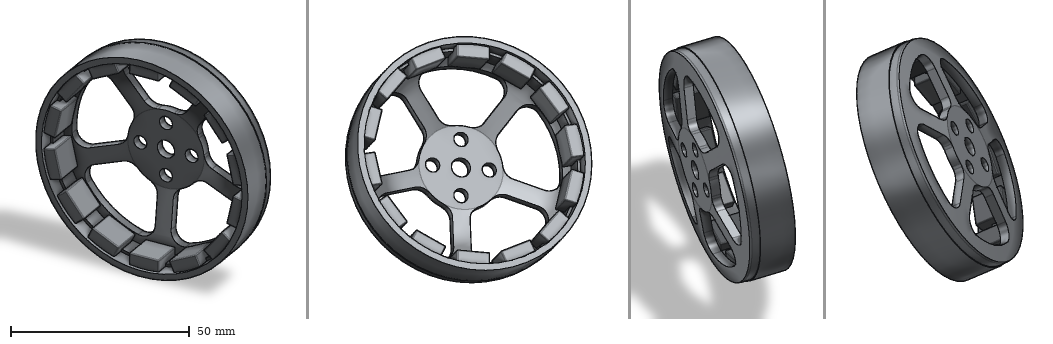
import cadquery as cq
import math


ring_radius = 34.17
ring_bore_radius = 32.25
ring_length = 10.55

bell_radius = 33.9
bell_edge_radius = 33.75
bell_side_end = 13.0
bell_edge_end = 13.65
lip_bore_radius = 31.4
lip_start = 5.0

total_length = 16.48
hub_radius = 12.28
hub_face = 13.7
web_slope = (total_length - bell_edge_end) / (bell_edge_radius - hub_radius)
web_front_at_lip = hub_face - web_slope * (lip_bore_radius - hub_radius)

spoke_count = 5
spoke_width = 5.15
window_inner_distance = 12.0
window_outer_radius = 28.95
window_corner_radius = 4.0

shaft_hole_diameter = 5.5
screw_hole_diameter = 4.1
screw_circle_radius = 8.25
screw_count = 4

magnet_count = 14
magnet_width = 9.5
magnet_length = 9.5
magnet_start = 1.2
magnet_face_distance = 28.3
magnet_edge_radius = 0.3
magnet_embed = 0.4


def copies(body, count):
    """Evenly spaced copies of a body around the bell axis."""
    pitch = 360.0 / count
    return [body.rotate((0, 0, 0), (0, 1, 0), pitch * i) for i in range(count)]


def make_shell():
    """Ring, bell, web and hub revolved as one profile of (radius, Y) points."""
    profile = (
        cq.Workplane("XY")
        .moveTo(0, hub_face)
        .lineTo(hub_radius, hub_face)
        .lineTo(lip_bore_radius, web_front_at_lip)
        .lineTo(lip_bore_radius, lip_start)
        .lineTo(ring_bore_radius, lip_start)
        .lineTo(ring_bore_radius, 0)
        .lineTo(ring_radius, 0)
        .lineTo(ring_radius, ring_length)
        .lineTo(bell_radius, ring_length)
        .lineTo(bell_radius, bell_side_end)
        .lineTo(bell_edge_radius, bell_edge_end)
        .lineTo(hub_radius, total_length)
        .lineTo(0, total_length)
        .close()
    )
    return profile.revolve(360, (0, 0, 0), (0, 1, 0))


def make_window():
    """Cutter for the window centred on +Z, bounded by two spokes and the rim."""
    half_pitch = math.pi / spoke_count
    side_offset = spoke_width / 2 / math.sin(half_pitch)

    def side_x(z):
        return (z - side_offset) * math.tan(half_pitch)

    inner_x = side_x(window_inner_distance)
    outer_angle = half_pitch - math.asin(spoke_width / 2 / window_outer_radius)
    outer_x = window_outer_radius * math.sin(outer_angle)
    outer_z = window_outer_radius * math.cos(outer_angle)
    window = (
        cq.Workplane("XZ")
        .moveTo(-inner_x, window_inner_distance)
        .lineTo(inner_x, window_inner_distance)
        .lineTo(outer_x, outer_z)
        .threePointArc((0, window_outer_radius), (-outer_x, outer_z))
        .close()
        .extrude(-total_length)
        .edges("|Y")
        .fillet(window_corner_radius)
    )
    hub = cq.Workplane("XZ").circle(hub_radius).extrude(-total_length)
    return window.cut(hub)


def make_hub_holes():
    """Shaft hole and the screw holes around it."""
    shaft = cq.Workplane("XZ").circle(shaft_hole_diameter / 2)
    screws = cq.Workplane("XZ").polarArray(screw_circle_radius, 0, 360, screw_count)
    screws = screws.circle(screw_hole_diameter / 2)
    return shaft.extrude(-total_length).union(screws.extrude(-total_length))


def make_magnet():
    """Round-edged block magnet on +Z, its back merged into the ring."""
    magnet_back = ring_bore_radius + magnet_embed
    height = magnet_back - magnet_face_distance
    return (
        cq.Workplane("XY")
        .box(magnet_width, magnet_length, height, centered=(True, False, False))
        .edges("|Z or <Z")
        .fillet(magnet_edge_radius)
        .translate((0, magnet_start, magnet_face_distance))
    )


result = make_shell()
for window in copies(make_window(), spoke_count):
    result = result.cut(window)
result = result.cut(make_hub_holes())
for magnet in copies(make_magnet(), magnet_count):
    result = result.union(magnet)